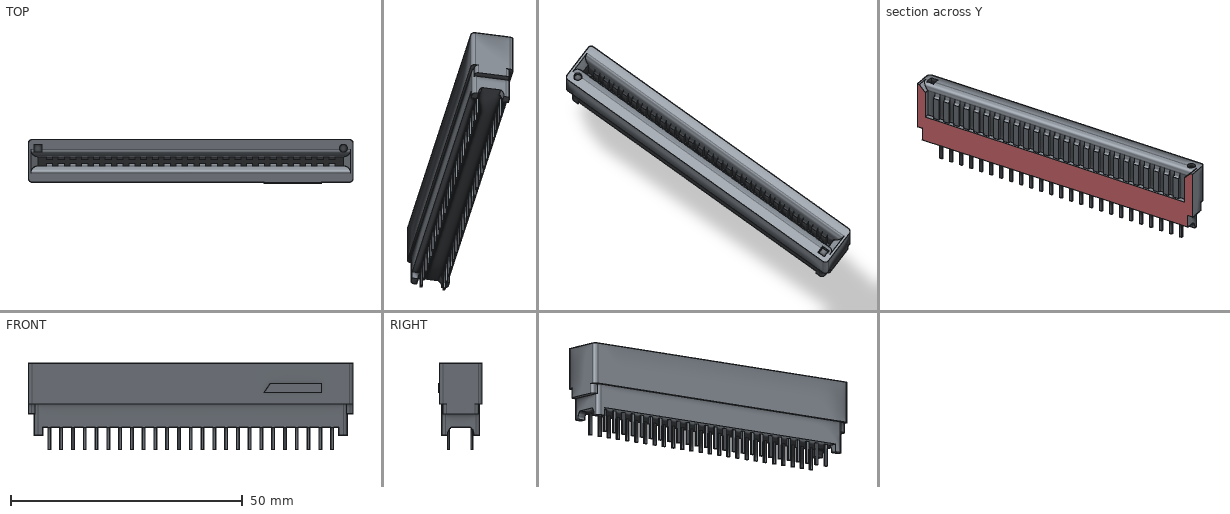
import cadquery as cq
import math


length = 70.1
total_height = 18.65
block_width = 9.25
block_height = 8.8
corner_radius = 0.85
tab_width = 7.6
tab_corner_radius = 0.7
tab_bottom = 10.95
skirt_inset = 1.25
skirt_length = length - 2 * skirt_inset
skirt_width = 8.2
skirt_bottom = 13.9
foot_length = 1.9
foot_bottom = 15.55

arch_top_width = 4.1
arch_bottom_width = 5.5
arch_bulge = 0.2

mid_plane_y = -0.105

slot_width = 1.95
lip_radius = 1.55
slot_depth = 7.7
mouth_length = 69.0
slot_length = mouth_length - 2 * lip_radius

marker_end_distance = 2.1
marker_edge_distance = 1.9
marker_size = 1.7
marker_depth = 1.4

contact_count = 25
contact_row_length = 61.0
pitch = contact_row_length / (contact_count - 1)
contact_width = 1.3
contact_reach = 0.55
contact_bend_radius = 1.4
pin_width = 0.6
pin_thickness = 0.4
pin_row_spacing = 5.05

pad_left = 15.85
pad_right = 28.2
pad_slant = 1.3
pad_top = 4.35
pad_bottom = 6.3
pad_thickness = 0.2

overlap = 0.35


def rounded_block(size_x, size_y, top, bottom, radius=corner_radius):
    """Upright block with rounded vertical corners, between two depths below Z = 0."""
    block = cq.Workplane("XY", origin=(0, 0, -bottom)).rect(size_x, size_y)
    return block.extrude(bottom - top).edges("|Z").fillet(radius)


def housing():
    block = rounded_block(length, block_width, 0, block_height)
    tabs = rounded_block(length, tab_width, block_height - overlap, tab_bottom, tab_corner_radius)
    skirt = rounded_block(skirt_length, skirt_width, block_height - overlap, foot_bottom)
    gap_between_feet = cq.Workplane("XY", origin=(0, 0, -foot_bottom))
    gap_between_feet = gap_between_feet.rect(skirt_length - 2 * foot_length, skirt_width)
    skirt = skirt.cut(gap_between_feet.extrude(foot_bottom - skirt_bottom))
    return block.union(tabs).union(skirt).cut(foot_arch())


def foot_arch():
    """Cutter with bulging sides, run through both feet along X."""
    top_y = arch_top_width / 2
    bottom_y = arch_bottom_width / 2
    side_y = (top_y + bottom_y) / 2 + arch_bulge
    side_z = -(skirt_bottom + foot_bottom) / 2 + arch_bulge
    profile = (
        cq.Workplane("YZ")
        .moveTo(-bottom_y, -foot_bottom)
        .threePointArc((-side_y, side_z), (-top_y, -skirt_bottom))
        .lineTo(top_y, -skirt_bottom)
        .threePointArc((side_y, side_z), (bottom_y, -foot_bottom))
        .close()
    )
    return profile.extrude(length / 2, both=True)


def card_slot():
    """Cutter: flared cross-section along X, trimmed by sloped ends."""
    half_slot = slot_width / 2
    half_mouth = half_slot + lip_radius
    cross_section = (
        cq.Workplane("YZ")
        .moveTo(-half_slot, -slot_depth)
        .lineTo(-half_slot, -lip_radius)
        .radiusArc((-half_mouth, 0), -lip_radius)
        .lineTo(half_mouth, 0)
        .radiusArc((half_slot, -lip_radius), -lip_radius)
        .lineTo(half_slot, -slot_depth)
        .close()
        .extrude(length / 2, both=True)
    )
    side_outline = (
        cq.Workplane("XZ")
        .polyline([
            (-slot_length / 2, -slot_depth),
            (-slot_length / 2, -lip_radius),
            (-mouth_length / 2, 0),
            (mouth_length / 2, 0),
            (slot_length / 2, -lip_radius),
            (slot_length / 2, -slot_depth),
        ])
        .close()
        .extrude(block_width / 2, both=True)
    )
    return cross_section.intersect(side_outline).translate((0, mid_plane_y, 0))


def marker_recesses():
    """Square recess at the -X end and round recess at the +X end."""
    marker_x = length / 2 - marker_end_distance
    marker_y = block_width / 2 - marker_edge_distance
    square = cq.Workplane("XY").center(-marker_x, marker_y).rect(marker_size, marker_size)
    circle = cq.Workplane("XY").center(marker_x, marker_y).circle(marker_size / 2)
    return square.extrude(-marker_depth).union(circle.extrude(-marker_depth))


def contact(x, side):
    """Contact in the slot wall on one side (+1 or -1), with a hollow curved lead-in."""
    wall_y = mid_plane_y + side * slot_width / 2
    tip_y = wall_y - side * contact_reach
    back_y = wall_y + side * overlap
    lead_in = math.sqrt(contact_bend_radius**2 - (contact_bend_radius - contact_reach) ** 2)
    profile = (
        cq.Workplane("YZ", origin=(x, 0, 0))
        .moveTo(wall_y, -lip_radius)
        .radiusArc((tip_y, -lip_radius - lead_in), side * contact_bend_radius)
        .lineTo(tip_y, -slot_depth - overlap)
        .lineTo(back_y, -slot_depth - overlap)
        .lineTo(back_y, -lip_radius)
        .close()
    )
    return profile.extrude(contact_width / 2, both=True)


def pin(x, side):
    """Straight rectangular pin hanging from the underside of the skirt."""
    top = skirt_bottom - overlap
    y = mid_plane_y + side * pin_row_spacing / 2
    tip_plane = cq.Workplane("XY", origin=(x, y, -total_height))
    return tip_plane.rect(pin_width, pin_thickness).extrude(total_height - top)


def front_pad():
    outline = cq.Workplane("XZ", origin=(0, -block_width / 2 + overlap, 0)).polyline([
        (pad_left, -pad_bottom),
        (pad_left + pad_slant, -pad_top),
        (pad_right, -pad_top),
        (pad_right, -pad_bottom),
    ])
    return outline.close().extrude(pad_thickness + overlap)


body = housing().cut(card_slot()).cut(marker_recesses()).union(front_pad())

first_x = -contact_row_length / 2
terminals = []
for index in range(contact_count):
    terminal_x = first_x + index * pitch
    for side in (1, -1):
        terminals.append(contact(terminal_x, side).val())
        terminals.append(pin(terminal_x, side).val())

result = cq.Workplane(body.val().fuse(*terminals))